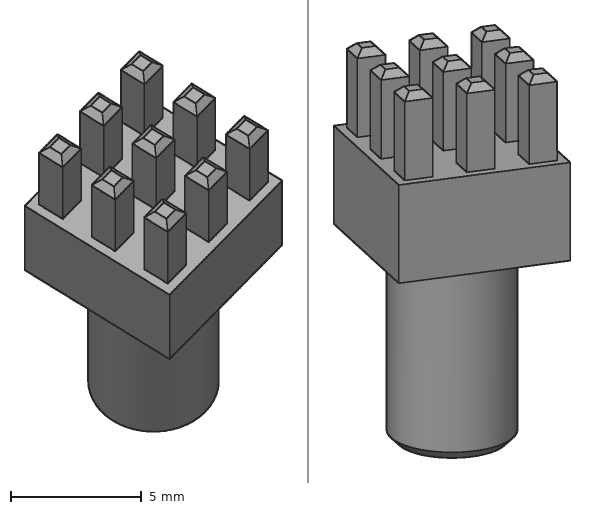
import cadquery as cq

total_height = 15.5
block_width = 7.0

shaft_diameter = 5.0
shaft_length = 8.0
shaft_chamfer = 0.37

block_height = 4.0
block_top = shaft_length + block_height

pin_count = 3
pin_width = 1.15
pin_pitch = 2.54
pin_chamfer = 0.3
pin_length = total_height - block_top


def make_shaft():
    """Cylinder standing on Z = 0 with a chamfered lower end."""
    shaft = cq.Workplane("XY").circle(shaft_diameter / 2).extrude(shaft_length)
    return shaft.faces("<Z").chamfer(shaft_chamfer)


def make_block():
    """Square block seated on the shaft."""
    return (
        cq.Workplane("XY", origin=(0, 0, shaft_length))
        .rect(block_width, block_width)
        .extrude(block_height)
    )


def make_pins():
    """Grid of square pins with chamfered tips."""
    pins = (
        cq.Workplane("XY", origin=(0, 0, block_top))
        .rarray(pin_pitch, pin_pitch, pin_count, pin_count)
        .rect(pin_width, pin_width)
        .extrude(pin_length)
    )
    return pins.faces(">Z").chamfer(pin_chamfer)


result = make_shaft().union(make_block()).union(make_pins())